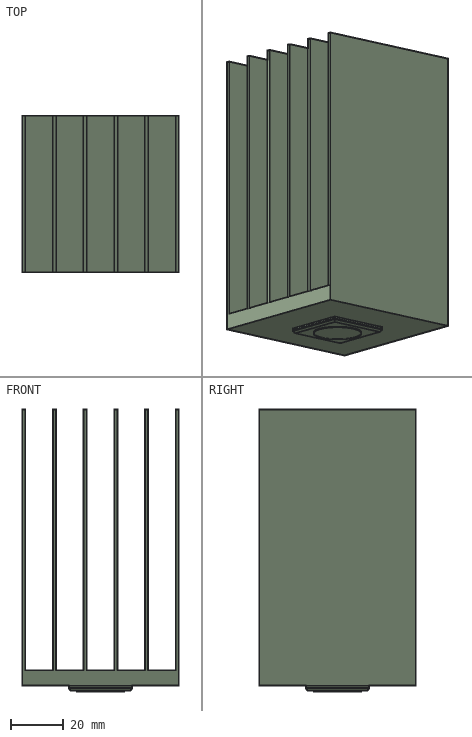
import cadquery as cq

total_height = 108.2
sink_width = 60.2
base_thickness = 6.0
fin_count = 6
fin_thickness = 1.3
board_width = 24.2
board_thickness = 0.8
cover_thickness = 1.2
bevel_height = 0.9
bevel_inset = 0.6
lens_diameter = 18.4
lens_thickness = 0.3

sink_height = total_height - board_thickness - cover_thickness - lens_thickness
fin_height = sink_height - base_thickness
fin_pitch = (sink_width - fin_thickness) / (fin_count - 1)


def make_heat_sink():
    """Square base with evenly spaced upright fins, flush at both sides."""
    sink = cq.Workplane("XY").box(sink_width, sink_width, base_thickness, centered=(True, True, False))
    for index in range(fin_count):
        fin_x = (fin_thickness - sink_width) / 2 + index * fin_pitch
        fin = (
            cq.Workplane("XY", origin=(fin_x, 0, base_thickness))
            .box(fin_thickness, sink_width, fin_height, centered=(True, True, False))
        )
        sink = sink.union(fin)
    return sink


def make_board():
    """Flat square board against the underside of the sink."""
    return cq.Workplane("XY").rect(board_width, board_width).extrude(-board_thickness)


def make_emitter():
    """Square cover flush with the board, bevelled around its lower face, with a thin round lens on it."""
    cover = (
        cq.Workplane("XY", origin=(0, 0, -board_thickness))
        .rect(board_width, board_width)
        .extrude(-cover_thickness)
        .faces("<Z")
        .edges()
        .chamfer(bevel_height, bevel_inset)
    )
    lens = (
        cq.Workplane("XY", origin=(0, 0, -board_thickness - cover_thickness))
        .circle(lens_diameter / 2)
        .extrude(-lens_thickness)
    )
    return cover.union(lens)


heat_sink = make_heat_sink()
board = make_board()
emitter = make_emitter()

result = cq.Compound.makeCompound([heat_sink.val(), board.val(), emitter.val()])